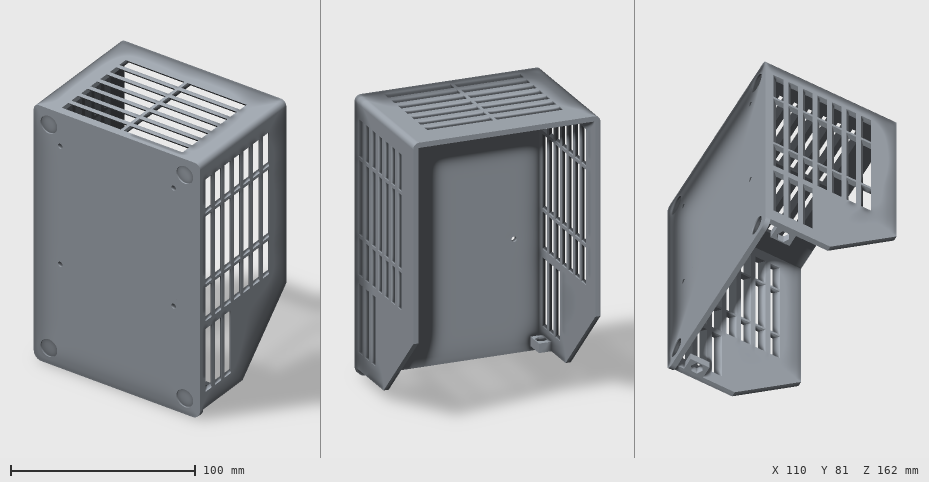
import cadquery as cq
import math


width = 110.0
depth = 81.0
height = 162.0

slot_width = 6.0
slot_count = 7
slot_field_start = 5.0
slot_field_end = 65.0
slot_pitch = (slot_field_end - slot_field_start - slot_width) / (slot_count - 1)
slot_bar = 2.0
slot_overcut = 0.8

wall = slot_width / 2

roof_edge_radius = 3.4
plate_corner_radius = 5.0
side_bottom = plate_corner_radius
side_slope = 41.0

roof_slot_margin = 15.0
roof_slot_length = width / 2 - roof_slot_margin - slot_bar / 2

side_slot_top = height - 12.0
side_slot_bottom = height - 102.0
side_slot_length = (side_slot_top - side_slot_bottom - 2 * slot_bar) / 4
lower_slot_top = height - 106.9
lower_slot_bottom = height - 146.9
lower_slot_count = 3

foot_inset = 10.0
foot_diameter = 11.0
foot_depth = 1.0
hole_spacing = 75.0
hole_diameter = 3.0
upper_hole_z = height - 21.0

block_reach = 7.3
block_length = 11.7
block_height = 5.5
block_y = 14.5
nut_across_flats = 6.0
nut_across_corners = nut_across_flats / math.cos(math.pi / 6)


def make_shell():
    """Box open at the back and below, with sloped lower back corners on the side walls."""
    body = cq.Workplane("XY").box(width, depth, height, centered=(True, False, False))
    body = body.edges("|Y and >Z").fillet(roof_edge_radius)
    body = body.edges("|Y and <Z").fillet(plate_corner_radius)

    cavity = (
        cq.Workplane("XY")
        .box(width - 2 * wall, depth - wall, height - wall, centered=(True, False, False))
        .translate((0, wall, 0))
    )
    lower_back = (
        cq.Workplane("YZ")
        .moveTo(wall, 0)
        .lineTo(depth, 0)
        .lineTo(depth, side_bottom + side_slope)
        .lineTo(depth - side_slope, side_bottom)
        .lineTo(wall, side_bottom)
        .close()
        .extrude(width / 2, both=True)
    )
    return body.cut(cavity).cut(lower_back)


def nut_blocks():
    """One block on the inside of each side wall, with an upright hexagonal nut pocket through it."""
    block_x = width / 2 - wall - block_reach / 2
    return (
        cq.Workplane("XY", origin=(0, 0, side_bottom))
        .pushPoints([(-block_x, block_y), (block_x, block_y)])
        .rect(block_reach, block_length)
        .extrude(block_height)
        .cut(nut_pockets(block_x))
    )


def nut_pockets(block_x):
    """Hexagonal prisms with two flats parallel to the side walls."""
    hexagon = (
        cq.Workplane("XY")
        .polygon(6, nut_across_corners)
        .extrude(block_height)
        .rotate((0, 0, 0), (0, 0, 1), 30)
    )
    left = hexagon.translate((-block_x, block_y, side_bottom))
    return left.union(left.mirror("YZ"))


def louvre(length):
    """Slanted slot cutter along X: local Z = 0 is the outer face, and it leans toward +Y going inward."""
    inner = wall + slot_overcut
    return (
        cq.Workplane("YZ")
        .moveTo(-slot_overcut, slot_overcut)
        .lineTo(slot_width - slot_overcut, slot_overcut)
        .lineTo(slot_width + inner, -inner)
        .lineTo(inner, -inner)
        .close()
        .extrude(length)
    )


def roof_slots():
    cutters = []
    for row in range(slot_count):
        y = slot_field_start + row * slot_pitch
        for x in (roof_slot_margin - width / 2, slot_bar / 2):
            cutters.append(louvre(roof_slot_length).translate((x, y, height)).val())
    return cutters


def side_slot_group(bottom, length, count):
    """Upright slots through the left wall and their mirror images through the right wall."""
    upright = louvre(length).rotate((0, 0, 0), (0, 1, 0), -90)
    cutters = []
    for row in range(count):
        y = slot_field_start + row * slot_pitch
        left = upright.translate((-width / 2, y, bottom))
        cutters += [left.val(), left.mirror("YZ").val()]
    return cutters


def side_slots():
    middle_bottom = side_slot_bottom + side_slot_length + slot_bar
    upper_bottom = side_slot_top - side_slot_length
    return (
        side_slot_group(side_slot_bottom, side_slot_length, slot_count)
        + side_slot_group(middle_bottom, 2 * side_slot_length, slot_count)
        + side_slot_group(upper_bottom, side_slot_length, slot_count)
        + side_slot_group(lower_slot_bottom, lower_slot_top - lower_slot_bottom, lower_slot_count)
    )


def front_cylinders(points, diameter, length):
    """Cylinders running from the front face into the plate, at (x, z) points."""
    direction = cq.Vector(0, 1, 0)
    return [
        cq.Solid.makeCylinder(diameter / 2, length, cq.Vector(x, 0, z), direction)
        for x, z in points
    ]


def foot_recesses():
    foot_x = width / 2 - foot_inset
    points = [(x, z) for x in (-foot_x, foot_x) for z in (foot_inset, height - foot_inset)]
    return front_cylinders(points, foot_diameter, foot_depth)


def mounting_holes():
    hole_x = hole_spacing / 2
    points = [(x, z) for x in (-hole_x, hole_x) for z in (upper_hole_z - hole_spacing, upper_hole_z)]
    return front_cylinders(points, hole_diameter, wall)


cutters = roof_slots() + side_slots() + foot_recesses() + mounting_holes()
result = cq.Workplane(make_shell().val().fuse(*nut_blocks().vals()).cut(*cutters))